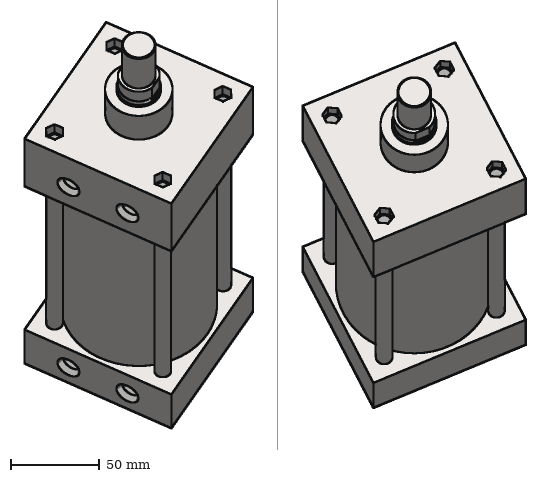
import cadquery as cq


BLOCK_SIDE = 95.3
CAP_HEIGHT = 31.7
BARREL_LENGTH = 133.5
HEAD_HEIGHT = 44.5
BARREL_DIAMETER = 89.0
HEAD_BOTTOM = CAP_HEIGHT + BARREL_LENGTH
HEAD_TOP = HEAD_BOTTOM + HEAD_HEIGHT

TIE_ROD_SPACING = 70.2
TIE_ROD_DIAMETER = 9.5
BOLT_HEAD_DIAMETER = 17.5
BOLT_HEAD_DEPTH = 12.8
SOCKET_CORNERS = 11.0
SOCKET_DEPTH = 7.6
SOCKET_TIP_DIAMETER = 8.2
SOCKET_TIP_DEPTH = 2.7

RETAINER_DIAMETER = 70.2
RETAINER_DEPTH = 12.8
GLAND_DIAMETER = 38.2
GLAND_HEIGHT = 22.0
GLAND_TOP = HEAD_TOP + GLAND_HEIGHT

PORT_SPACING = 38.2
PORT_MOUTH_RADIUS = 7.0
PORT_BORE_RADIUS = 5.7
PORT_TAPER_DEPTH = 4.5
PORT_DEPTH = 9.0
HEAD_PORT_Z = HEAD_BOTTOM + 17.5
CAP_PORT_Z = 14.5

TOTAL_HEIGHT = 273.0
ROD_DIAMETER = 25.5
ROD_LAND_HEIGHT = 1.6
ROD_TAPER_HEIGHT = 2.5
NECK_DIAMETER = 23.8
FLATS_WIDTH = 22.0
FLATS_HEIGHT = 10.0
STUD_DIAMETER = 19.0
STUD_LENGTH = 28.0
STUD_CHAMFER = 0.5
SHOULDER_Z = TOTAL_HEIGHT - STUD_LENGTH


def at_height(z):
    """Horizontal workplane at height z."""
    return cq.Workplane("XY").workplane(offset=z)


def at_tie_rods(z):
    """Horizontal workplane at height z with a point on each tie-rod axis."""
    return at_height(z).rect(TIE_ROD_SPACING, TIE_ROD_SPACING, forConstruction=True).vertices()


def block(bottom, height):
    """Square end block."""
    return at_height(bottom).rect(BLOCK_SIDE, BLOCK_SIDE).extrude(height)


def hex_sockets():
    """Cutters for the hexagon sockets, each with a conical tip."""
    bottom = HEAD_TOP - SOCKET_DEPTH
    hexagons = at_tie_rods(bottom).polygon(6, SOCKET_CORNERS).extrude(SOCKET_DEPTH)
    tip = cq.Solid.makeCone(SOCKET_TIP_DIAMETER / 2, 0, SOCKET_TIP_DEPTH, dir=cq.Vector(0, 0, -1))
    tips = at_tie_rods(bottom).eachpoint(lambda place: tip.moved(place))
    return hexagons.union(tips)


def port(x, z):
    """Cutter for one port entering the front face at (x, z)."""
    profile = [
        (0, 0),
        (PORT_MOUTH_RADIUS, 0),
        (PORT_BORE_RADIUS, PORT_TAPER_DEPTH),
        (0, PORT_DEPTH),
    ]
    cutter = cq.Workplane("XY").polyline(profile).close().revolve(360, (0, 0), (0, 1))
    return cutter.translate((x, -BLOCK_SIDE / 2, z))


def make_housing():
    """Cap, barrel, tie rods, head and gland as one solid."""
    barrel = at_height(CAP_HEIGHT).circle(BARREL_DIAMETER / 2).extrude(BARREL_LENGTH)
    tie_rods = at_tie_rods(CAP_HEIGHT).circle(TIE_ROD_DIAMETER / 2).extrude(BARREL_LENGTH)
    gland = at_height(HEAD_TOP).circle(GLAND_DIAMETER / 2).extrude(GLAND_HEIGHT)
    housing = block(0, CAP_HEIGHT).union(barrel).union(tie_rods)
    housing = housing.union(block(HEAD_BOTTOM, HEAD_HEIGHT)).union(gland)

    for port_z in (CAP_PORT_Z, HEAD_PORT_Z):
        for side in (-1, 1):
            housing = housing.cut(port(side * PORT_SPACING / 2, port_z))

    retainer = at_height(HEAD_TOP).circle(RETAINER_DIAMETER / 2).extrude(-RETAINER_DEPTH)
    bolt_heads = at_tie_rods(HEAD_TOP).circle(BOLT_HEAD_DIAMETER / 2).extrude(-BOLT_HEAD_DEPTH)
    housing = housing.union(retainer, clean=False).union(bolt_heads, clean=False)
    return housing.cut(hex_sockets(), clean=False)


def make_piston_rod():
    """Turned rod end standing on the gland, with two wrench flats facing -X and +X."""
    taper_bottom = GLAND_TOP + ROD_LAND_HEIGHT
    taper_top = taper_bottom + ROD_TAPER_HEIGHT
    profile = [
        (0, GLAND_TOP),
        (ROD_DIAMETER / 2, GLAND_TOP),
        (ROD_DIAMETER / 2, taper_bottom),
        (NECK_DIAMETER / 2, taper_top),
        (NECK_DIAMETER / 2, SHOULDER_Z),
        (STUD_DIAMETER / 2, SHOULDER_Z),
        (STUD_DIAMETER / 2, TOTAL_HEIGHT - STUD_CHAMFER),
        (STUD_DIAMETER / 2 - STUD_CHAMFER, TOTAL_HEIGHT),
        (0, TOTAL_HEIGHT),
    ]
    rod = cq.Workplane("XZ").polyline(profile).close().revolve(360, (0, 0), (0, 1))

    flats_bottom = at_height(SHOULDER_Z - FLATS_HEIGHT)
    outside_flats = flats_bottom.rect(2 * ROD_DIAMETER, 2 * ROD_DIAMETER).extrude(FLATS_HEIGHT)
    between_flats = flats_bottom.rect(FLATS_WIDTH, 2 * ROD_DIAMETER).extrude(FLATS_HEIGHT)
    return rod.cut(outside_flats.cut(between_flats))


housing = make_housing()
piston_rod = make_piston_rod()

result = cq.Compound.makeCompound([*housing.solids().vals(), piston_rod.val()])